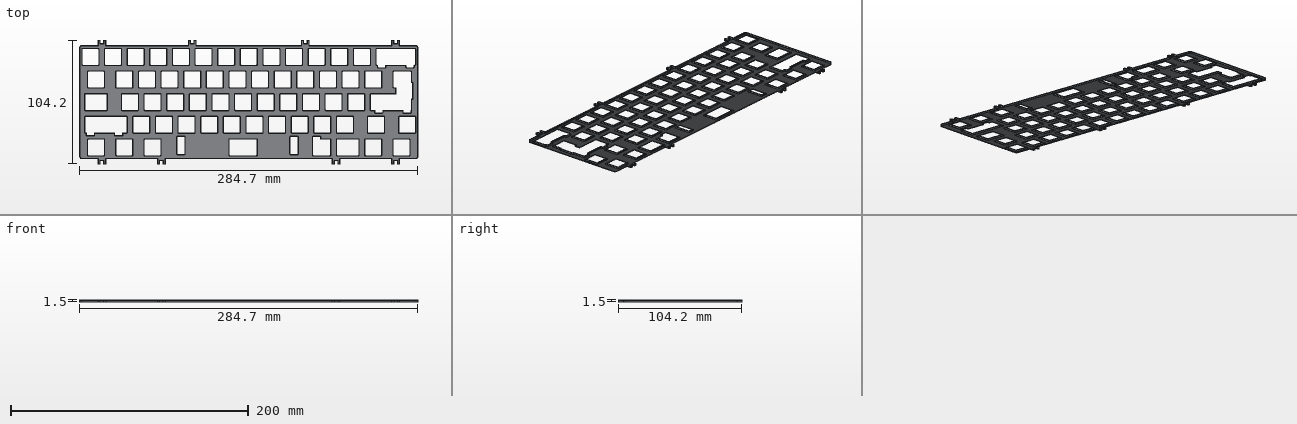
import cadquery as cq

PLATE_LENGTH = 284.7
PLATE_WIDTH = 95.25
PLATE_THICKNESS = 1.5
PLATE_CORNER_RADIUS = 2.0

OVERALL_WIDTH = 104.19
TAB_LENGTH = 6.5
TAB_SLOT_LENGTH = 3.0
TAB_SLOT_DEPTH = 2.9
OUTER_TAB_X = 123.6
INNER_BACK_TAB_X = 47.625
INNER_FRONT_TAB_X = 73.5

KEY_UNIT = 19.05
ROW_LENGTH_UNITS = 15
SWITCH_SIZE = 14.1
CUTOUT_RADIUS = 0.5

ROW_COUNT = 5
NUMBER_ROW, UPPER_ROW, HOME_ROW, LOWER_ROW, SPACE_ROW = range(ROW_COUNT)

SINGLE_KEYS = {
    NUMBER_ROW: [0.5 + i for i in range(13)],
    UPPER_ROW: [0.75] + [2 + i for i in range(12)],
    HOME_ROW: [2.25 + i for i in range(11)],
    LOWER_ROW: [2.75 + i for i in range(10)] + [13.125, 14.5],
    SPACE_ROW: [0.75, 2, 3.25, 10.75, 13, 14.25],
}

WIDE_OPENINGS = [
    (NUMBER_ROW, 13.5, 14.5),
    (HOME_ROW, 0.625, 0.875),
    (LOWER_ROW, 0.625, 1.75),
    (SPACE_ROW, 7, 7.5),
    (SPACE_ROW, 11.75, 12),
]

STABILIZER_LENGTH = 6.75
STABILIZER_SHORT_REACH = 6.0
STABILIZER_LONG_REACH = 9.2
STABILIZER_OFFSET = 11.94
STABILIZED_KEYS = [(NUMBER_ROW, 14), (HOME_ROW, 13.875), (LOWER_ROW, 1.125)]

SPACE_STABILIZERS = [
    (-57.15, STABILIZER_SHORT_REACH),
    (38.1, STABILIZER_SHORT_REACH),
    (57.15, SWITCH_SIZE / 2),
]

ENTER_UPPER_KEY = 14.25
ENTER_LOWER_LEFT_KEY = 13.25
ENTER_TALL_KEY = 14.375


def key_x(units):
    return (units - ROW_LENGTH_UNITS / 2) * KEY_UNIT


def row_y(row):
    return ((ROW_COUNT - 1) / 2 - row) * KEY_UNIT


def block(x_min, x_max, y_min, y_max):
    """Block through the plate thickness between the given limits."""
    return cq.Workplane("XY").box(
        x_max - x_min, y_max - y_min, PLATE_THICKNESS, centered=False
    ).translate((x_min, y_min, 0))


def cutout(x_min, x_max, y_min, y_max):
    """Block with rounded upright edges, used to cut an opening."""
    return block(x_min, x_max, y_min, y_max).edges("|Z").fillet(CUTOUT_RADIUS)


def switch_cutout(row, first_units, last_units):
    """Opening that spans the switches from one key centre to another."""
    half = SWITCH_SIZE / 2
    y = row_y(row)
    return cutout(key_x(first_units) - half, key_x(last_units) + half, y - half, y + half)


def stabilizer_cutout(x, y, front_reach, back_reach):
    half = STABILIZER_LENGTH / 2
    return cutout(x - half, x + half, y - front_reach, y + back_reach)


def switch_cutouts():
    cutters = [
        switch_cutout(row, units, units)
        for row, centres in SINGLE_KEYS.items()
        for units in centres
    ]
    cutters += [switch_cutout(*opening) for opening in WIDE_OPENINGS]
    return cutters


def stabilizer_cutouts():
    cutters = []
    for row, units in STABILIZED_KEYS:
        for side in (-1, 1):
            x = key_x(units) + side * STABILIZER_OFFSET
            cutters.append(
                stabilizer_cutout(x, row_y(row), STABILIZER_LONG_REACH, STABILIZER_SHORT_REACH)
            )
    for x, front_reach in SPACE_STABILIZERS:
        cutters.append(
            stabilizer_cutout(x, row_y(SPACE_ROW), front_reach, STABILIZER_LONG_REACH)
        )
    return cutters


def enter_cutouts():
    """Opening over two rows at the right end of the plate."""
    half = SWITCH_SIZE / 2
    upper_y = row_y(UPPER_ROW)
    home_y = row_y(HOME_ROW)
    tall_x = key_x(ENTER_TALL_KEY)
    tall_y = (upper_y + home_y) / 2
    right_x = tall_x + STABILIZER_SHORT_REACH
    upper = cutout(key_x(ENTER_UPPER_KEY) - half, right_x, upper_y - half, upper_y + half)
    lower = cutout(key_x(ENTER_LOWER_LEFT_KEY) - half, right_x, home_y - half, home_y + half)
    middle = cutout(tall_x - half, tall_x + half, tall_y - half, tall_y + half)
    return [upper, lower, middle]


def mounting_tab(x, side):
    """Slotted tab at x; side is 1 on the back edge and -1 on the front edge."""
    edge_y = side * PLATE_WIDTH / 2
    tip_y = side * OVERALL_WIDTH / 2
    slot_y = tip_y - side * TAB_SLOT_DEPTH
    body = block(x - TAB_LENGTH / 2, x + TAB_LENGTH / 2, min(edge_y, tip_y), max(edge_y, tip_y))
    slot = block(
        x - TAB_SLOT_LENGTH / 2, x + TAB_SLOT_LENGTH / 2, min(slot_y, tip_y), max(slot_y, tip_y)
    )
    return body.cut(slot)


def plate():
    half_length = PLATE_LENGTH / 2
    half_width = PLATE_WIDTH / 2
    body = block(-half_length, half_length, -half_width, half_width)
    body = body.edges("|Z").fillet(PLATE_CORNER_RADIUS)
    for side, inner_x in ((1, INNER_BACK_TAB_X), (-1, INNER_FRONT_TAB_X)):
        for x in (-OUTER_TAB_X, -inner_x, inner_x, OUTER_TAB_X):
            body = body.union(mounting_tab(x, side))
    return body


cutters = switch_cutouts() + stabilizer_cutouts() + enter_cutouts()
plate_with_openings = plate().val().cut(*[cutter.val() for cutter in cutters])
result = cq.Workplane(plate_with_openings.Solids()[0])